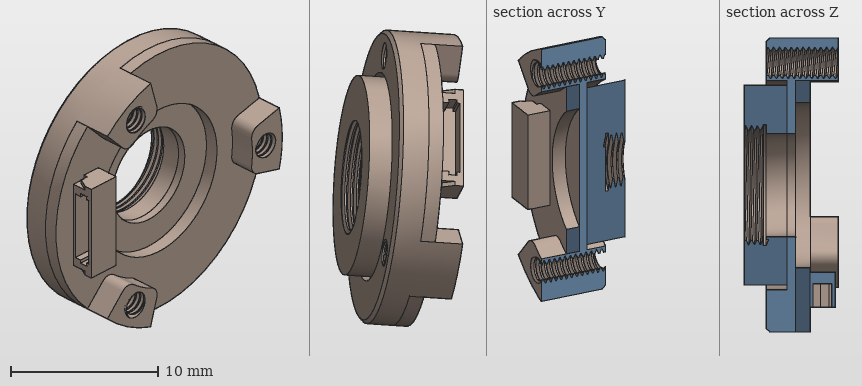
import cadquery as cq
import math

mount_front = 0.0
base_front = 1.5
mount_seat = 2.9
board_seat = 3.5
board_rear = 4.5
tab_end = 6.4

base_radius = 10.0
base_chamfer = 0.25
recess_radius = 7.1
clear_bore_radius = 3.5
tab_count = 3
tab_angle = 28.0
tab_fillet = 0.8
screw_circle_radius = 8.3
screw_minor_radius = 0.85
screw_major_radius = 1.05
screw_boss_radius = 1.15

mount_radius = 6.8
mount_thread_end = 1.5
mount_minor_radius = 3.75
mount_major_radius = 4.05
mount_relief_radius = 4.1
mount_relief_width = 0.2

thread_pitch = 0.4
thread_fill = 0.8
thread_overlap = 0.05

board_bore_radius = 5.6

connector_rear = 6.2
connector_length = 7.0
connector_mouth_y = -8.3
connector_depth = 2.4
notch_height = 0.3
notch_step_x = 4.8
notch_rear_x = 5.6
notch_bottom_y = -7.3
notch_slope_y = -7.85
pocket_depth = 1.6
pocket_x = (4.68, 5.95)
pocket_length = 5.0
pocket_ear_x = (5.18, 5.75)
pocket_ear_length = 5.48


def cylinder(radius, x_start, x_end):
    """Solid cylinder about the X axis."""
    return cq.Workplane("YZ", origin=(x_start, 0, 0)).circle(radius).extrude(x_end - x_start)


def thread_groove(minor_radius, major_radius, x_start, x_end):
    """Helical V groove about the X axis, reaching a little inside the minor radius."""
    inner_radius = minor_radius - thread_overlap
    half_width = thread_fill * thread_pitch / 2
    helix = cq.Wire.makeHelix(thread_pitch, x_end - x_start, inner_radius)
    return (
        cq.Workplane("XZ")
        .polyline([(inner_radius, -half_width), (major_radius, 0), (inner_radius, half_width)])
        .close()
        .sweep(cq.Workplane(obj=helix), isFrenet=True)
        .rotate((0, 0, 0), (0, 1, 0), 90)
        .translate((x_start, 0, 0))
    )


def repeat_at_tabs(body):
    """Copies of a body, turned about the X axis to each tab."""
    return [body.rotate((0, 0, 0), (1, 0, 0), i * 360 / tab_count) for i in range(tab_count)]


def make_tab():
    """Tab on the +Y side: a ring sector with radial sides and rounded inner corners."""
    reach = 2 * base_radius
    half_width = reach * math.tan(math.radians(tab_angle / 2))
    wedge = (
        cq.Workplane("YZ", origin=(board_seat, 0, 0))
        .polyline([(0, 0), (reach, -half_width), (reach, half_width)])
        .close()
        .extrude(tab_end - board_seat)
    )
    ring = cylinder(base_radius, board_seat, tab_end).cut(cylinder(recess_radius, board_seat, tab_end))
    inner_corners = cq.selectors.BoxSelector(
        (board_seat, 0, -base_radius), (tab_end, (recess_radius + base_radius) / 2, base_radius)
    )
    return ring.intersect(wedge).edges("|X").edges(inner_corners).fillet(tab_fillet)


def make_screw_sleeve():
    """Threaded sleeve on the +Y side that lines a screw hole through the base and a tab."""
    groove = thread_groove(
        screw_minor_radius, screw_major_radius, base_front - thread_pitch, tab_end + thread_pitch
    )
    core = cylinder(screw_minor_radius, base_front - thread_pitch, tab_end + thread_pitch)
    sleeve = cylinder(screw_boss_radius, base_front, tab_end).cut(groove).cut(core)
    return sleeve.translate((0, screw_circle_radius, 0))


def make_base(tabs):
    base = cylinder(base_radius, base_front, tab_end).faces("<X").chamfer(base_chamfer)
    gaps = cylinder(2 * base_radius, board_seat, tab_end)
    for tab in tabs:
        gaps = gaps.cut(tab)
    base = base.cut(gaps)
    base = base.cut(cylinder(recess_radius, base_front, mount_seat))
    base = base.cut(cylinder(clear_bore_radius, mount_seat, board_seat))
    sleeve_seat = cylinder(screw_boss_radius, base_front, tab_end).translate((0, screw_circle_radius, 0))
    for seat in repeat_at_tabs(sleeve_seat):
        base = base.cut(seat)
    for sleeve in repeat_at_tabs(make_screw_sleeve()):
        base = base.union(sleeve)
    return base


def make_mount():
    relief_front = mount_thread_end - mount_relief_width
    groove = thread_groove(
        mount_minor_radius, mount_major_radius, mount_front - thread_pitch, mount_thread_end
    )
    mount = cylinder(mount_radius, mount_front, mount_seat)
    mount = mount.cut(cylinder(clear_bore_radius, mount_front, mount_seat))
    mount = mount.cut(cylinder(mount_minor_radius, mount_front, mount_thread_end))
    mount = mount.cut(cylinder(mount_relief_radius, relief_front, mount_thread_end))
    return mount.cut(groove)


def make_board(tabs):
    board = cylinder(base_radius, board_seat, board_rear)
    board = board.cut(cylinder(board_bore_radius, board_seat, board_rear))
    for tab in tabs:
        board = board.cut(tab)
    return board


def slab(points, length):
    """Prism with an outline in X and Y, centred on Z = 0."""
    return cq.Workplane("XY").polyline(points).close().extrude(length / 2, both=True)


def box(x_range, y_range, length):
    """Rectangular block centred on Z = 0."""
    (x0, x1), (y0, y1) = x_range, y_range
    return slab([(x0, y0), (x1, y0), (x1, y1), (x0, y1)], length)


def make_connector():
    back_y = connector_mouth_y + connector_depth
    connector = box((board_rear, connector_rear), (connector_mouth_y, back_y), connector_length)
    notch = [
        (board_rear, connector_mouth_y),
        (notch_rear_x, connector_mouth_y),
        (notch_step_x, notch_slope_y),
        (notch_step_x, notch_bottom_y),
        (board_rear, notch_bottom_y),
    ]
    between_notches = connector_length - 2 * notch_height
    connector = connector.cut(slab(notch, connector_length).cut(slab(notch, between_notches)))
    pocket_y = (connector_mouth_y, connector_mouth_y + pocket_depth)
    connector = connector.cut(box(pocket_x, pocket_y, pocket_length))
    return connector.cut(box(pocket_ear_x, pocket_y, pocket_ear_length))


tabs = repeat_at_tabs(make_tab())
base = make_base(tabs)
mount = make_mount()
board = make_board(tabs)
connector = make_connector()

result = cq.Compound.makeCompound([base.val(), mount.val(), board.val(), connector.val()])